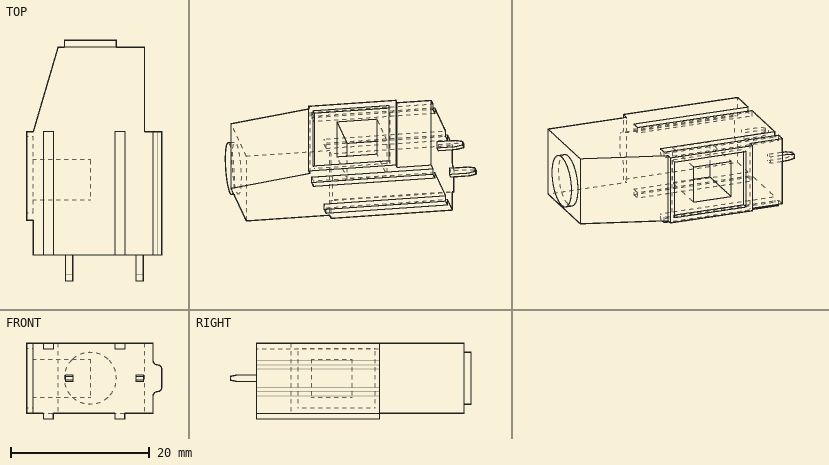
import cadquery as cq

height = 10.1
mid_z = height / 2
body_left = 0.95
body_right = 18.25
shoulder_y = 17.8
top_y = 30.0
top_left = 4.52
top_right = 17.03

frame_start_y = 5.0
recess_depth = body_left
recess_y = (6.05, 17.13)
recess_z = (0.73, 9.35)
entry_y = (7.95, 13.8)
entry_z = (2.3, 7.75)

screw_diameter = 7.5
screw_height = 1.0
screw_x = 9.17

rail_lefts = (2.4, 12.72)
rail_width = 1.45
rail_depth = 0.85

tongue_width = 1.25
tongue_height = 3.9
tongue_radius = tongue_width / 2

pin_lefts = (5.6, 15.75)
pin_width = 1.08
pin_thickness = 0.97
pin_length = 3.75
pin_tip_length = 0.97
pin_tip_thickness = 0.55


def block(x_range, y_range, z_range):
    """Axis-aligned box spanning the given (low, high) ranges."""
    sizes = [high - low for low, high in (x_range, y_range, z_range)]
    corner = (x_range[0], y_range[0], z_range[0])
    return cq.Workplane("XY").box(*sizes, centered=False).translate(corner)


def make_housing():
    """Stepped plan outline with one sloping side, extruded to full height."""
    outline = [
        (body_left, 0),
        (body_right, 0),
        (body_right, shoulder_y),
        (top_right, shoulder_y),
        (top_right, top_y),
        (top_left, top_y),
        (body_left, shoulder_y),
        (0, shoulder_y),
        (0, frame_start_y),
        (body_left, frame_start_y),
    ]
    return cq.Workplane("XY").polyline(outline).close().extrude(height)


def make_tongue():
    """Side tongue with concave roots and rounded outer corners."""
    r = tongue_radius
    low = mid_z - tongue_height / 2
    high = mid_z + tongue_height / 2
    mid_x = body_right + r
    outer_x = body_right + tongue_width
    profile = (
        cq.Workplane("XZ")
        .moveTo(body_right, low - r)
        .radiusArc((mid_x, low), r)
        .radiusArc((outer_x, low + r), -r)
        .lineTo(outer_x, high - r)
        .radiusArc((mid_x, high), -r)
        .radiusArc((body_right, high + r), r)
        .close()
    )
    return profile.extrude(-shoulder_y)


def make_pin(left):
    """Flat solder pin whose tip tapers in thickness."""
    half = pin_thickness / 2
    tip_half = pin_tip_thickness / 2
    taper_y = pin_tip_length - pin_length
    outline = [
        (0, mid_z - half),
        (0, mid_z + half),
        (taper_y, mid_z + half),
        (-pin_length, mid_z + tip_half),
        (-pin_length, mid_z - tip_half),
        (taper_y, mid_z - half),
    ]
    return cq.Workplane("YZ", origin=(left, 0, 0)).polyline(outline).close().extrude(pin_width)


result = make_housing().union(make_tongue())

result = result.cut(block((0, recess_depth), recess_y, recess_z))
result = result.cut(block((0, screw_x), entry_y, entry_z))

screw = (
    cq.Workplane("XZ", origin=(screw_x, top_y, mid_z))
    .circle(screw_diameter / 2)
    .extrude(-screw_height)
)
result = result.union(screw)

for rail_left in rail_lefts:
    rail_x = (rail_left, rail_left + rail_width)
    rail_y = (0, shoulder_y)
    result = result.cut(block(rail_x, rail_y, (height - rail_depth, height)))
    result = result.union(block(rail_x, rail_y, (-rail_depth, 0)))

for pin_left in pin_lefts:
    result = result.union(make_pin(pin_left))